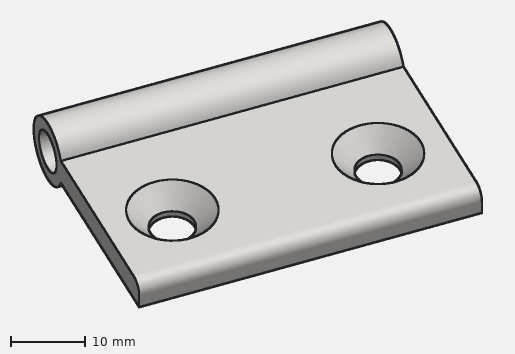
import cadquery as cq

length = 50.0
width = 37.0
barrel_diameter = 10.0
bore_diameter = 6.1

leaf_thickness = 4.0
edge_radius = 1.9
leaf_end = width - barrel_diameter / 2

hole_diameter = 6.4
countersink_diameter = 12.45
countersink_angle = 90.0
hole_offset = 19.6
hole_spacing = 30.0


def cylinder_along_length(diameter):
    return cq.Workplane("XZ").circle(diameter / 2).extrude(length / 2, both=True)


def make_leaf():
    leaf = cq.Workplane("XY").box(
        leaf_end, length, leaf_thickness, centered=(False, True, True)
    )
    return leaf.edges("|Y and >X and >Z").fillet(edge_radius)


def cut_screw_holes(body):
    return (
        body.copyWorkplane(cq.Workplane("XY", origin=(hole_offset, 0, leaf_thickness / 2)))
        .rarray(0.5, hole_spacing, 1, 2)
        .cskHole(hole_diameter, countersink_diameter, countersink_angle)
    )


hinge = cylinder_along_length(barrel_diameter).union(make_leaf())
hinge = hinge.cut(cylinder_along_length(bore_diameter))
result = cut_screw_holes(hinge)